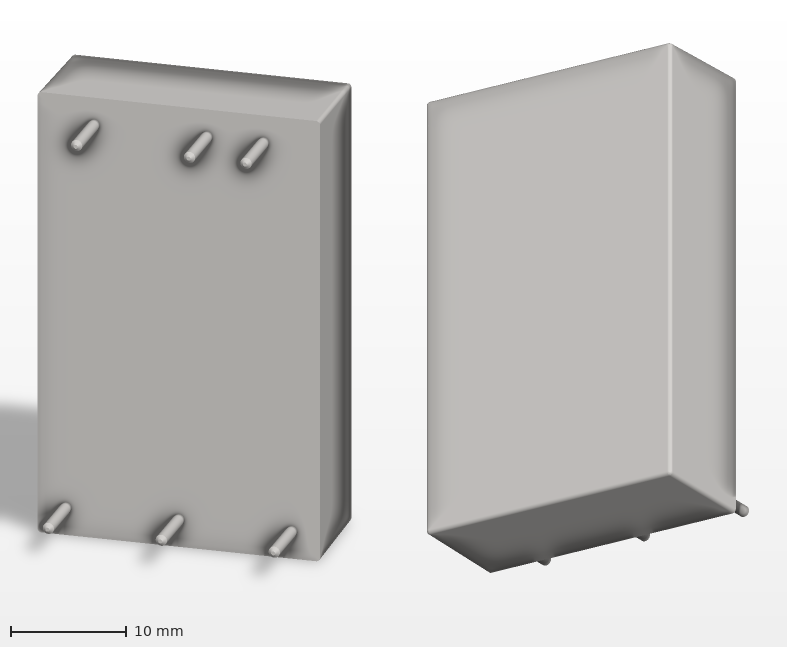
import cadquery as cq

case_width = 25.4
case_height = 40.6
case_depth = 10.2
draft_angle = 0.7
corner_radius = 0.32
back_edge_radius = 0.32

pin_diameter = 1.0
pin_length = 5.6
pin_tip_chamfer = 0.32
pin_pitch = 2.54
row_offset = 7 * pin_pitch
upper_row_steps = (-3, 1, 3)
lower_row_steps = (-4, 0, 4)


def make_case():
    """Drafted block with rounded side corners and a rounded back rim."""
    block = (
        cq.Workplane("XZ")
        .rect(case_width, case_height)
        .extrude(-case_depth, taper=draft_angle)
    )
    side_corners = block.edges("not #Y")
    rounded = side_corners.fillet(corner_radius)
    return rounded.faces(">Y").edges().fillet(back_edge_radius)


def make_pin(x, z):
    """Round pin with a chamfered tip, rooted on the pin face."""
    return (
        cq.Workplane("XZ")
        .center(x, z)
        .circle(pin_diameter / 2)
        .extrude(pin_length)
        .faces("<Y")
        .chamfer(pin_tip_chamfer)
    )


result = make_case()
for row_z, row_steps in ((row_offset, upper_row_steps), (-row_offset, lower_row_steps)):
    for step in row_steps:
        result = result.union(make_pin(step * pin_pitch, row_z))